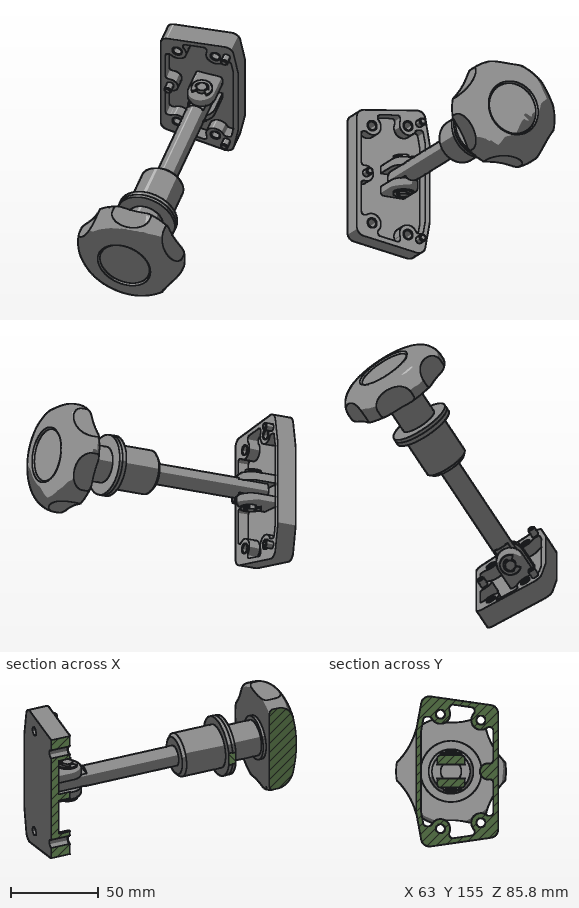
import cadquery as cq
import math


PLATE_THICK = 12.0
PLATE_LEFT, PLATE_LEFT_Z = -27.0, 37.4
PLATE_PEAK_X, PLATE_PEAK_Z = 16.3, 43.5
PLATE_RIGHT, PLATE_RIGHT_Z = 20.0, 23.2
PLATE_CORNER_R = 5.0
WALL = 3.0
POCKET_DEPTH = 7.0
POCKET_CORNER_R = 1.9

LEFT_HOLE_X, LEFT_HOLE_Z = -17.0, 29.3
RIGHT_HOLE_X, RIGHT_HOLE_Z = 6.0, 32.7
HOLE_D = 5.0
HOLE_CHAMFER = 0.5
HOLE_BOSS_R = 5.6
LEFT_BOSS_TOP_X, LEFT_BOSS_SIDE_Z = -13.5, 25.3
RIGHT_BOSS_SIDE_X = 1.0
SIDE_STUD_X = -21.1
CORNER_STUD_X, CORNER_STUD_Z = 13.0, 35.0
STUD_D = 4.2
STUD_HEIGHT = 5.1
STUD_CHAMFER = 0.6
CORNER_STUD_BOSS_R = 3.9
SIDE_STUD_BOSS_R = 4.6

PIVOT_REACH = 18.0
LUG_R = 8.0
LUG_OUTER_Z = 9.3
LUG_FILLET = 2.0
PIN_D = 6.0
PIN_LENGTH = 23.7
RING_R = 6.0
RING_RELIEF_R = 4.0
RING_THICK = 1.0
RING_Z = 10.5
RING_MOUTH_ANGLE = 90

ROD_D = 12.0
ROD_START = 9.6
TONGUE_THICK = 7.9
TONGUE_END_REACH = 28.2

BUSHING_D = 25.5
BUSHING_START = 85.2
BUSHING_CHAMFER = 1.9
FLANGE_D = 35.0
FLANGE_START = 111.6
FLANGE_THICK = 2.5
RIM_D = 34.9
RIM_THICK = 2.0

SHANK_GAP = 0.3
SHANK_D = 21.0
COLLAR_D = 25.7
COLLAR_START = 135.2
HEAD_START = 137.0
HEAD_D = 63.0
HEAD_EDGE_R = 2.3
HEAD_RIM_LENGTH = 3.1
SHOULDER_ARC_R = 10.4
SHOULDER_R = 24.6
RECESS_R = 16.0
RECESS_EDGE_REACH = 154.4
RECESS_DEPTH = 1.0
DOME_REACH = 155.0
SCALLOP_COUNT = 6
FIRST_SCALLOP_ANGLE = 90
SCALLOP_DISTANCE = 27.9
SCALLOP_R = 41.4

FLOOR_REACH = PLATE_THICK - POCKET_DEPTH
FLANGE_END = FLANGE_START + FLANGE_THICK
BUSHING_END = FLANGE_END + RIM_THICK
SHANK_START = BUSHING_END + SHANK_GAP


def facing_front(reach):
    """XZ sketch plane at a given reach, extruding towards the knob."""
    return cq.Workplane("XZ").workplane(offset=reach)


def mirrored(x, z):
    """A point and its mirror image across Z = 0."""
    return [(x, z), (x, -z)]


CORNER_STUDS = mirrored(CORNER_STUD_X, CORNER_STUD_Z)
SIDE_STUD = (SIDE_STUD_X, 0)
STUDS = CORNER_STUDS + [SIDE_STUD]
HOLES = mirrored(LEFT_HOLE_X, LEFT_HOLE_Z) + mirrored(RIGHT_HOLE_X, RIGHT_HOLE_Z)


def plate_outline(reach):
    """Sharp-cornered plate outline, the same above and below Z = 0."""
    half = [(PLATE_LEFT, PLATE_LEFT_Z), (PLATE_PEAK_X, PLATE_PEAK_Z), (PLATE_RIGHT, PLATE_RIGHT_Z)]
    return facing_front(reach).polyline(half + [(x, -z) for x, z in reversed(half)]).close()


def pocket_land(x0, x1, z0, z1):
    """Block that fills part of the pocket between two corners."""
    width, height = x1 - x0, z1 - z0
    centre = (x0 + width / 2, z0 + height / 2)
    return facing_front(FLOOR_REACH).center(*centre).rect(width, height).extrude(POCKET_DEPTH)


def make_pocket():
    """Pocket inside the plate wall, leaving lands around the holes and studs."""
    pocket = plate_outline(FLOOR_REACH).offset2D(-WALL).extrude(POCKET_DEPTH)
    bosses = ((HOLES, HOLE_BOSS_R), (CORNER_STUDS, CORNER_STUD_BOSS_R), ([SIDE_STUD], SIDE_STUD_BOSS_R))
    for points, radius in bosses:
        pocket = pocket.cut(facing_front(FLOOR_REACH).pushPoints(points).circle(radius).extrude(POCKET_DEPTH))
    upper_lands = [
        pocket_land(PLATE_LEFT, LEFT_BOSS_TOP_X, LEFT_HOLE_Z, PLATE_PEAK_Z),
        pocket_land(PLATE_LEFT, LEFT_HOLE_X, LEFT_BOSS_SIDE_Z, PLATE_PEAK_Z),
        pocket_land(RIGHT_BOSS_SIDE_X, PLATE_RIGHT, RIGHT_HOLE_Z, PLATE_PEAK_Z),
    ]
    for land in upper_lands:
        pocket = pocket.cut(land).cut(land.mirror("XY"))
    return pocket.edges("|Y").fillet(POCKET_CORNER_R)


def make_lug():
    """Upper hinge lug, rounded about the pivot and standing on the pocket floor."""
    lug = (
        cq.Workplane("XY")
        .workplane(offset=TONGUE_THICK / 2)
        .moveTo(-LUG_R, -FLOOR_REACH)
        .lineTo(-LUG_R, -PIVOT_REACH)
        .threePointArc((0, -PIVOT_REACH - LUG_R), (LUG_R, -PIVOT_REACH))
        .lineTo(LUG_R, -FLOOR_REACH)
        .close()
        .extrude(LUG_OUTER_Z - TONGUE_THICK / 2)
    )
    return lug.faces(">Z").edges("not(>Y)").fillet(LUG_FILLET)


def make_pivot_pin():
    return (
        cq.Workplane("XY")
        .workplane(offset=-PIN_LENGTH / 2)
        .center(0, -PIVOT_REACH)
        .circle(PIN_D / 2)
        .extrude(PIN_LENGTH)
    )


def make_plate():
    """Plate with its pocket, screw holes, studs and both hinge lugs."""
    plate = plate_outline(0).extrude(PLATE_THICK)
    plate = plate.edges("|Y").edges("<X or >Z or <Z").fillet(PLATE_CORNER_R)
    plate = plate.cut(make_pocket())
    holes = facing_front(0).pushPoints(HOLES).circle(HOLE_D / 2).extrude(PLATE_THICK)
    mouths = (
        facing_front(PLATE_THICK - HOLE_CHAMFER)
        .pushPoints(HOLES)
        .circle(HOLE_D / 2 + HOLE_CHAMFER)
        .extrude(HOLE_CHAMFER)
    )
    plate = plate.cut(holes).cut(mouths)
    studs = facing_front(PLATE_THICK).pushPoints(STUDS).circle(STUD_D / 2).extrude(STUD_HEIGHT)
    plate = plate.union(studs.faces("<Y").chamfer(STUD_CHAMFER))
    lug = make_lug()
    return plate.union(lug).union(lug.mirror("XY")).cut(make_pivot_pin())


def make_snap_ring(centre_z, mouth_direction):
    """Open ring snug on the pin beside its mouth and relieved on the far side."""
    ring = cq.Workplane("XY").circle(RING_R).circle(PIN_D / 2).extrude(RING_THICK)
    relief = cq.Workplane("XY").circle(RING_RELIEF_R).extrude(RING_THICK)
    far_half = cq.Workplane("XY").center(-RING_R, 0).rect(2 * RING_R, 2 * RING_R).extrude(RING_THICK)
    half_angle = math.radians(RING_MOUTH_ANGLE / 2)
    mouth_x = 2 * RING_R * math.cos(half_angle)
    mouth_y = 2 * RING_R * math.sin(half_angle)
    mouth = (
        cq.Workplane("XY")
        .polyline([(0, 0), (mouth_x, -mouth_y), (mouth_x, mouth_y)])
        .close()
        .extrude(RING_THICK)
    )
    ring = ring.cut(relief.intersect(far_half)).cut(mouth)
    ring = ring.rotate((0, 0, 0), (0, 0, 1), mouth_direction)
    return ring.translate((0, -PIVOT_REACH, centre_z - RING_THICK / 2))


def make_rod():
    """Round bar, flattened above and below at the hinge end and butted against the knob shank."""
    rod = facing_front(ROD_START).circle(ROD_D / 2).extrude(SHANK_START - ROD_START)
    flat = (
        cq.Workplane("XY")
        .workplane(offset=TONGUE_THICK / 2)
        .center(0, -TONGUE_END_REACH / 2)
        .rect(ROD_D, TONGUE_END_REACH)
        .extrude(ROD_D / 2)
    )
    return rod.cut(flat).cut(flat.mirror("XY")).cut(make_pivot_pin())


def make_bushing():
    """Chamfered barrel with a flange, ending in a slightly smaller rim, bored for the rod."""
    barrel = facing_front(BUSHING_START).circle(BUSHING_D / 2).extrude(FLANGE_START - BUSHING_START)
    barrel = barrel.faces(">Y").chamfer(BUSHING_CHAMFER)
    flange = facing_front(FLANGE_START).circle(FLANGE_D / 2).extrude(FLANGE_THICK)
    bore = facing_front(BUSHING_START).circle(ROD_D / 2).extrude(BUSHING_END - BUSHING_START)
    rim = facing_front(FLANGE_END).circle(RIM_D / 2).extrude(RIM_THICK)
    return barrel.union(flange).union(rim).cut(bore)


def make_knob_head():
    """Turned head with a rounded shoulder and a domed disc in its front recess."""
    head_r = HEAD_D / 2
    rim_start = HEAD_START + HEAD_EDGE_R
    rim_end = rim_start + HEAD_RIM_LENGTH
    arc_centre_r = head_r - SHOULDER_ARC_R
    shoulder_angle = math.acos((SHOULDER_R - arc_centre_r) / SHOULDER_ARC_R)

    def on_shoulder(angle):
        r = arc_centre_r + SHOULDER_ARC_R * math.cos(angle)
        return r, -(rim_end + SHOULDER_ARC_R * math.sin(angle))

    edge_mid = HEAD_EDGE_R * (1 - math.sqrt(0.5))
    dome_edge_r = RECESS_R - RECESS_DEPTH
    dome_edge_reach = RECESS_EDGE_REACH - RECESS_DEPTH
    dome_height = DOME_REACH - dome_edge_reach
    dome_sphere_r = (dome_edge_r**2 + dome_height**2) / (2 * dome_height)
    dome_mid_r = dome_edge_r / 2
    dome_mid_reach = DOME_REACH - dome_sphere_r + math.sqrt(dome_sphere_r**2 - dome_mid_r**2)
    return (
        cq.Workplane("XY")
        .moveTo(0, -HEAD_START)
        .lineTo(head_r - HEAD_EDGE_R, -HEAD_START)
        .threePointArc((head_r - edge_mid, -(HEAD_START + edge_mid)), (head_r, -rim_start))
        .lineTo(head_r, -rim_end)
        .threePointArc(on_shoulder(shoulder_angle / 2), on_shoulder(shoulder_angle))
        .tangentArcPoint((RECESS_R, -RECESS_EDGE_REACH), relative=False)
        .lineTo(dome_edge_r, -dome_edge_reach)
        .threePointArc((dome_mid_r, -dome_mid_reach), (0, -DOME_REACH))
        .close()
        .revolve(360, (0, 0), (0, 1))
    )


def make_knob():
    """Scalloped head on its collar and shank."""
    head = make_knob_head()
    for i in range(SCALLOP_COUNT):
        angle = FIRST_SCALLOP_ANGLE + i * 360 / SCALLOP_COUNT
        scallop = (
            facing_front(HEAD_START)
            .center(SCALLOP_DISTANCE + SCALLOP_R, 0)
            .circle(SCALLOP_R)
            .extrude(DOME_REACH - HEAD_START)
            .rotate((0, 0, 0), (0, 1, 0), angle)
        )
        head = head.cut(scallop)
    shank = facing_front(SHANK_START).circle(SHANK_D / 2).extrude(COLLAR_START - SHANK_START)
    collar = facing_front(COLLAR_START).circle(COLLAR_D / 2).extrude(HEAD_START - COLLAR_START)
    return head.union(collar).union(shank)


plate = make_plate()
pivot_pin = make_pivot_pin()
rod = make_rod()
bushing = make_bushing()
knob = make_knob()
snap_rings = [make_snap_ring(z, direction) for z, direction in ((RING_Z, -90), (-RING_Z, 0))]

result = cq.Compound.makeCompound(
    [plate.val(), pivot_pin.val(), rod.val(), bushing.val(), knob.val()]
    + [ring.val() for ring in snap_rings]
)